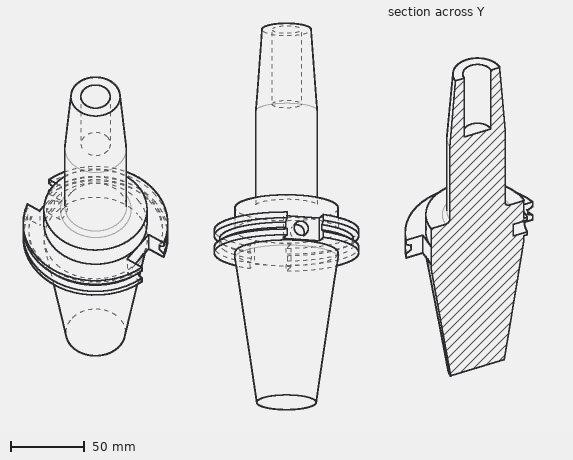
import cadquery as cq
import math

total_height = 261.5
gauge_z = 101.5
flange_bottom_z = 105.0
flange_top_z = 120.9
collar_top_z = 136.5
nose_start_z = 204.5

gauge_radius = 35.0
taper_ratio = 7 / 24
small_end_radius = gauge_radius - gauge_z * taper_ratio / 2
flange_radius = 49.2
neck_radius = 21.0
nose_tip_radius = 16.7
neck_fillet = 3.1

groove_depth = 3.7
groove_floor_width = 3.7
groove_flank_angle = 30
groove_flank_height = groove_depth * math.tan(math.radians(groove_flank_angle))
groove_mouth_width = groove_floor_width + 2 * groove_flank_height
groove_z = (flange_bottom_z + flange_top_z) / 2

slot_width = 25.6
slot_floor_left = 37.5
slot_floor_right = 35.0

bore_radius = 10.0
bore_depth = 52.3
slot_hole_radius = 5.0
slot_hole_depth = 10.5


def turned_body():
    """Taper, flange, collar, neck and conical nose as one revolved profile."""
    fillet_offset = neck_fillet * (1 - math.sqrt(0.5))
    groove_radius = flange_radius - groove_depth
    return (
        cq.Workplane("XZ")
        .lineTo(small_end_radius, 0)
        .lineTo(gauge_radius, gauge_z)
        .lineTo(gauge_radius, flange_bottom_z)
        .lineTo(flange_radius, flange_bottom_z)
        .lineTo(flange_radius, groove_z - groove_mouth_width / 2)
        .lineTo(groove_radius, groove_z - groove_floor_width / 2)
        .lineTo(groove_radius, groove_z + groove_floor_width / 2)
        .lineTo(flange_radius, groove_z + groove_mouth_width / 2)
        .lineTo(flange_radius, flange_top_z)
        .lineTo(gauge_radius, flange_top_z)
        .lineTo(gauge_radius, collar_top_z)
        .lineTo(neck_radius + neck_fillet, collar_top_z)
        .threePointArc(
            (neck_radius + fillet_offset, collar_top_z + fillet_offset),
            (neck_radius, collar_top_z + neck_fillet),
        )
        .lineTo(neck_radius, nose_start_z)
        .lineTo(nose_tip_radius, total_height)
        .lineTo(0, total_height)
        .close()
        .revolve(360, (0, 0, 0), (0, 1, 0))
    )


def drive_slot(side, floor_distance):
    """Cutter for a slot through the flange; side is -1 for -X and +1 for +X."""
    slot_length = flange_radius
    return cq.Workplane("XY").box(slot_length, slot_width, flange_top_z - flange_bottom_z).translate(
        (side * (floor_distance + slot_length / 2), 0, groove_z)
    )


def tool_bore():
    """Cutter for the blind bore in the nose."""
    return cq.Workplane("XY").workplane(offset=total_height).circle(bore_radius).extrude(-bore_depth)


def slot_hole():
    """Cutter for the blind radial hole in the floor of the -X slot."""
    return (
        cq.Workplane("YZ", origin=(-slot_floor_left, 0, groove_z))
        .circle(slot_hole_radius)
        .extrude(slot_hole_depth)
    )


result = (
    turned_body()
    .cut(drive_slot(-1, slot_floor_left))
    .cut(drive_slot(1, slot_floor_right))
    .cut(tool_bore())
    .cut(slot_hole())
)